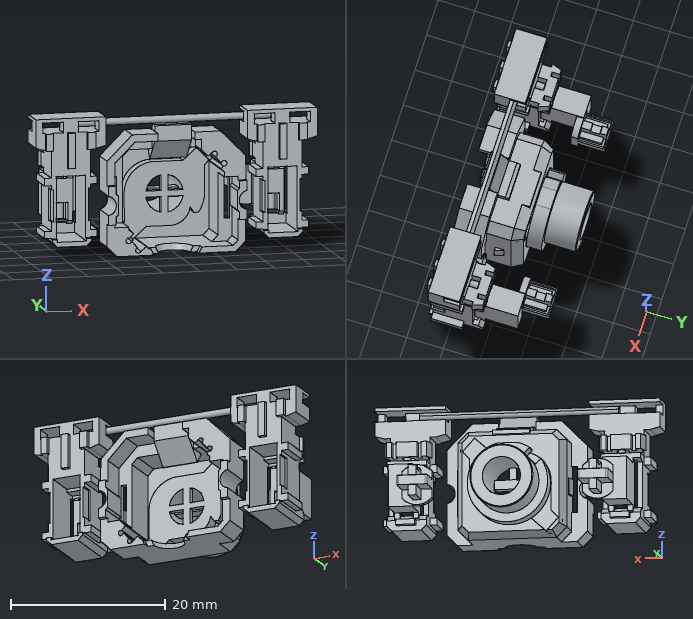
import cadquery as cq

FLANGE_HALF_WIDTH = 9.28
FLANGE_TOP = 9.13
FLANGE_BOTTOM = -6.9
FLANGE_FRONT = -4.15
TOP_CORNER = 3.35
BOTTOM_CORNER = 1.35
FLANGE_RIM = 1.03
FLANGE_FLOOR = 0.8
BOX_HALF_WIDTH = 7.2
BOX_TOP = 7.36
BOX_REAR = 4.83
BOX_WALL = 0.8
BOX_BEVEL_DEPTH = 1.48
BOX_BEVEL_HEIGHT = 0.78
CAVITY_FLOOR = -6.07
CAVITY_CORNER = 0.85
RIM_TOP_CORNER = 2.68
RIM_BOTTOM_CORNER = 0.7
TONGUE_HALF_WIDTH = 2.46
WINDOW_TOP = 3.04
WINDOW_INNER = BOX_HALF_WIDTH
WINDOW_OUTER = 7.92
HOOK_REACH = 0.48
HOOK_HALF_HEIGHT = 1.08
NOTCH_RADIUS = 1.27
NOTCH_CENTRE = 9.49
NOTCH_RIM = 0.28
PAD_FRONT = -4.85
PAD_HALF_HEIGHT = 2.55
RELIEF_HALF_WIDTH = 3.0
RELIEF_DEPTH = 1.05
RELIEF_RADIUS = 2.5
RELIEF_FLARE = 0.4
KEYWAY_LOBE_RADIUS = 0.36

KNOB_RADIUS = 4.15
KNOB_REAR = 11.25
KNOB_FLANGE_RADIUS = 5.31
KNOB_FLANGE_TOP = 5.15
KNOB_FLANGE_REAR = 6.9
KNOB_EDGE = 0.12
KNOB_NOTCH_WIDTH = 2.13
KNOB_PLATE_FRONT = 2.3
TAB_PAD_FRONT = KNOB_PLATE_FRONT - 0.4
VENT_RADIUS = 2.5
UPRIGHT_BAR = 1.0
CROSS_BAR = 0.8
CROSS_RIB = 1.24
CROSS_RIB_LENGTH = 4.2
CAVITY_REAR = BOX_REAR - BOX_WALL

ROD_RADIUS = 0.51
ROD_Y = -1.62
ROD_Z = 10.57
ROD_FLAT_DEPTH = 0.12

BRACKET_X = -14.15
HEAD_HALF_WIDTH = 4.69
HEAD_TOP = 11.7
HEAD_SIDE_BOTTOM = 7.9
HEAD_BOTTOM = 7.57
BRACKET_FRONT = -4.26
SLOT_BOTTOM = 9.83
SLOT_TOP = 11.2
SLOT_FRONT = -2.15
WINDOW_NEAR = 1.0
WINDOW_FAR = 3.75
STEM_HALF_WIDTH = 2.62
STEM_REAR = 1.4
FOOT_HALF_WIDTH = 1.95
FOOT_REAR = 2.6
FOOT_BOTTOM = -5.17
RIB_FRONT = PAD_FRONT
OPENING_TOP = 4.07
OPENING_FLOOR = -4.49
BACK_OPENING_HALF_HEIGHT = 3.1
OPENING_REAR_TOP = 3.65
BACK_WALL = 1.0
HEEL_REAR = 3.54
RAIL_REACH = 3.55
CATCH_TOP = 6.56
CATCH_BOTTOM = 4.58
CATCH_REACH = 3.1
CATCH_FRONT = 1.2
TAIL_HALF_WIDTH = 1.6
TAIL_HALF_HEIGHT = 2.8
TAIL_FRONT = 1.14
TAIL_REAR = 7.0
PIN_RADIUS = 0.48
PIN_Y = 1.8

LATCH_X = -11.93
LATCH_HALF = 2.0
LATCH_REAR = 10.65
LATCH_DISC_FRONT = 6.05
LATCH_DISC_RADIUS = 2.64
LATCH_WALL = 0.22
LATCH_CORE_HALF = 1.37
LATCH_CORE_REAR = 10.05
LATCH_BAND_HALF = 0.63
LATCH_SPINE_HALF = 0.52
LATCH_NOTCH_DEPTH = 0.45


def box(x0, x1, y0, y1, z0, z1):
    """Block between two corners."""
    return cq.Workplane("XY").box(x1 - x0, y1 - y0, z1 - z0, centered=False).translate((x0, y0, z0))


def front_plane(y):
    """XZ sketch plane at depth y, facing the front; a negative extrusion runs towards +Y."""
    return cq.Workplane(cq.Plane(origin=(0, y, 0), xDir=(1, 0, 0), normal=(0, -1, 0)))


def prism(points, y0, y1):
    """XZ polygon carried from y0 to y1."""
    return front_plane(y0).polyline(points).close().extrude(y0 - y1)


def disc(x, z, radius, y0, y1):
    """Round bar along Y."""
    return front_plane(y0).center(x, z).circle(radius).extrude(y0 - y1)


def side_prism(points, x0, x1):
    """YZ polygon carried from x0 to x1."""
    return cq.Workplane("YZ").polyline(points).close().extrude(x1 - x0).translate((x0, 0, 0))


def plan_prism(points, z0, z1):
    """XY polygon carried from z0 to z1."""
    return cq.Workplane("XY").polyline(points).close().extrude(z1 - z0).translate((0, 0, z0))


def mirrored(body):
    return body.mirror("YZ")


def turned(points):
    """Points turned half a turn about the knob axis."""
    return [(-x, -z) for x, z in points]


def cut_corner_outline(half_width, top, bottom, top_corner, bottom_corner):
    """Outline with straight sides and four cut corners."""
    return [
        (-half_width, bottom + bottom_corner),
        (-half_width, top - top_corner),
        (-half_width + top_corner, top),
        (half_width - top_corner, top),
        (half_width, top - top_corner),
        (half_width, bottom + bottom_corner),
        (half_width - bottom_corner, bottom),
        (-half_width + bottom_corner, bottom),
    ]


TAB = [(2.45, 4.26), (4.73, 6.3), (6.33, 4.55), (5.37, 3.55)]


def knob_plate(y0, y1):
    """Inner plate of the knob: rounded on one diagonal, with a tab at each end of the other."""
    tab_low = turned(TAB)
    outline = (
        front_plane(y0)
        .moveTo(-5.4, 0)
        .threePointArc((-4.3, 3.0), (-1.7, 4.26))
        .polyline(TAB, includeCurrent=True)
        .lineTo(5.37, -0.3)
        .threePointArc((5.1, -1.6), (4.55, -2.68))
        .lineTo(3.95, -2.68)
        .lineTo(3.45, -1.95)
        .threePointArc((2.4, -3.7), (0.6, -4.26))
        .polyline(tab_low, includeCurrent=True)
        .close()
    )
    return outline.extrude(y0 - y1)


def knob_flange():
    """Round collar behind the housing with a flat top and a radial notch at its upper left."""
    collar = disc(0, 0, KNOB_FLANGE_RADIUS, BOX_REAR, KNOB_FLANGE_REAR)
    radius = KNOB_FLANGE_RADIUS
    above = box(-radius, radius, BOX_REAR, KNOB_FLANGE_REAR, KNOB_FLANGE_TOP, radius)
    half_notch = KNOB_NOTCH_WIDTH / 2
    notch = box(-half_notch, half_notch, BOX_REAR, KNOB_FLANGE_REAR, KNOB_RADIUS, radius)
    notch = notch.rotate((0, 0, 0), (0, 1, 0), -45)
    return collar.cut(above).cut(notch)


def knob_tab_pads():
    """Raised tips of the two tabs, inside the keyways."""
    tip = [TAB[1], TAB[2], (5.96, 4.17), (4.26, 5.87)]
    return [prism(points, TAB_PAD_FRONT, KNOB_PLATE_FRONT) for points in (tip, turned(tip))]


def make_knob():
    grip = disc(0, 0, KNOB_RADIUS, BOX_REAR, KNOB_REAR).faces(">Y").edges().chamfer(KNOB_EDGE)
    body = knob_plate(KNOB_PLATE_FRONT, BOX_REAR).union(knob_flange()).union(grip)
    body = body.cut(disc(0, 0, VENT_RADIUS, KNOB_PLATE_FRONT, KNOB_REAR))
    bar_depth = (KNOB_PLATE_FRONT, KNOB_PLATE_FRONT + BOX_WALL)
    upright = box(-UPRIGHT_BAR / 2, UPRIGHT_BAR / 2, *bar_depth, -VENT_RADIUS, VENT_RADIUS)
    cross = box(-VENT_RADIUS, VENT_RADIUS, *bar_depth, -CROSS_BAR / 2, CROSS_BAR / 2)
    bars = upright.union(cross).intersect(disc(0, 0, VENT_RADIUS, *bar_depth))
    half_rib = CROSS_RIB_LENGTH / 2
    rib = box(-half_rib, half_rib, bar_depth[1], BOX_REAR, -CROSS_RIB / 2, CROSS_RIB / 2)
    for pad in knob_tab_pads():
        body = body.union(pad)
    return body.union(bars).union(rib)


def housing_shell():
    """Front flange and the bevelled box behind it."""
    flange = prism(
        cut_corner_outline(FLANGE_HALF_WIDTH, FLANGE_TOP, FLANGE_BOTTOM, TOP_CORNER, BOTTOM_CORNER),
        FLANGE_FRONT,
        0,
    )
    rear_box = prism(
        cut_corner_outline(BOX_HALF_WIDTH, BOX_TOP, FLANGE_BOTTOM, BOTTOM_CORNER, BOTTOM_CORNER),
        0,
        BOX_REAR,
    )
    rear_box = rear_box.faces(">Y").chamfer(BOX_BEVEL_DEPTH, BOX_BEVEL_HEIGHT)
    return flange.union(rear_box)


def housing_cavity():
    """Wide shallow recess in the flange and the deeper one in the box, less two solid corners."""
    rim_x = FLANGE_HALF_WIDTH - FLANGE_RIM
    rim_z = FLANGE_TOP - FLANGE_RIM + 0.04
    deep_x = BOX_HALF_WIDTH - BOX_WALL
    deep_z = BOX_TOP - BOX_WALL
    block_x = 3.35
    block_z = 6.75
    diagonal_end = 3.7
    low_diagonal_x = -3.58
    wide = prism(
        [
            (-rim_x, -WINDOW_TOP),
            (-rim_x, rim_z - RIM_TOP_CORNER),
            (-rim_x + RIM_TOP_CORNER, rim_z),
            (block_x, rim_z),
            (block_x, block_z),
            (deep_x, diagonal_end),
            (deep_x, WINDOW_TOP),
            (rim_x, WINDOW_TOP),
            (rim_x, CAVITY_FLOOR + RIM_BOTTOM_CORNER),
            (rim_x - RIM_BOTTOM_CORNER, CAVITY_FLOOR),
            (low_diagonal_x, CAVITY_FLOOR),
            (-deep_x, -WINDOW_TOP - 0.2),
            (-deep_x, -WINDOW_TOP),
        ],
        FLANGE_FRONT,
        -FLANGE_FLOOR,
    )
    deep = prism(
        [
            (-deep_x, -WINDOW_TOP - 0.2),
            (-deep_x, deep_z - CAVITY_CORNER),
            (-deep_x + CAVITY_CORNER, deep_z),
            (block_x + 0.19, deep_z),
            (deep_x, diagonal_end),
            (deep_x, CAVITY_FLOOR + CAVITY_CORNER),
            (deep_x - CAVITY_CORNER, CAVITY_FLOOR),
            (low_diagonal_x, CAVITY_FLOOR),
        ],
        FLANGE_FRONT,
        CAVITY_REAR,
    )
    return wide.union(deep)


def keyways():
    """Two-lobed channels through the solid corners that let the knob tabs in."""
    lobes = [(5.1, 6.12), (6.38, 4.84)]
    cutter = None
    for tab, centres in ((TAB, lobes), (turned(TAB), turned(lobes))):
        channel = prism(tab, FLANGE_FRONT, CAVITY_REAR)
        for x, z in centres:
            channel = channel.union(disc(x, z, KEYWAY_LOBE_RADIUS, FLANGE_FRONT, CAVITY_REAR))
        cutter = channel if cutter is None else cutter.union(channel)
    return cutter


def tongue():
    """Bent strip over the top of the housing that rises under the rod."""
    profile = [
        (4.4, BOX_TOP),
        (1.56, BOX_TOP),
        (1.56, 8.0),
        (1.08, 8.2),
        (0, 8.2),
        (-1.08, 9.95),
        (-2.1, 9.95),
        (-2.4, 9.85),
        (-2.4, 7.81),
        (0.4, 5.03),
        (1.6, BOX_TOP - BOX_WALL),
        (4.4, BOX_TOP - BOX_WALL),
    ]
    return side_prism(profile, -TONGUE_HALF_WIDTH, TONGUE_HALF_WIDTH)


def floor_relief():
    """Arched cut in the front edge of the floor, flaring upwards."""
    height = CAVITY_FLOOR - FLANGE_BOTTOM
    back = FLANGE_FRONT + RELIEF_DEPTH
    top_half = RELIEF_HALF_WIDTH + RELIEF_FLARE
    mouth = prism(
        [
            (-RELIEF_HALF_WIDTH, FLANGE_BOTTOM),
            (RELIEF_HALF_WIDTH, FLANGE_BOTTOM),
            (top_half, CAVITY_FLOOR),
            (-top_half, CAVITY_FLOOR),
        ],
        FLANGE_FRONT,
        back,
    )
    arch = cq.Solid.makeCone(
        RELIEF_RADIUS - RELIEF_FLARE,
        RELIEF_RADIUS,
        height,
        pnt=cq.Vector(0, back, FLANGE_BOTTOM),
    )
    return mouth.union(cq.Workplane(obj=arch))


def side_pad():
    """Left pad on the flange front with the wall behind its half-round notch."""
    inner = FLANGE_HALF_WIDTH - FLANGE_RIM
    pad = box(-FLANGE_HALF_WIDTH, -inner, PAD_FRONT, FLANGE_FRONT, -PAD_HALF_HEIGHT, PAD_HALF_HEIGHT)
    wall_x = -inner + NOTCH_RIM
    wall_half = NOTCH_RADIUS + NOTCH_RIM
    wall = prism(
        [
            (-inner, -wall_half),
            (wall_x, -wall_half + NOTCH_RIM),
            (wall_x, wall_half - NOTCH_RIM),
            (-inner, wall_half),
        ],
        PAD_FRONT,
        0,
    )
    return pad.union(wall)


def snap_hook():
    """Left wedge on the side of the box."""
    profile = [
        (-BOX_HALF_WIDTH, 1.2),
        (-BOX_HALF_WIDTH - HOOK_REACH, 1.2),
        (-BOX_HALF_WIDTH - 0.1, 2.4),
        (-BOX_HALF_WIDTH, 2.4),
    ]
    return plan_prism(profile, -HOOK_HALF_HEIGHT, HOOK_HALF_HEIGHT)


def make_housing():
    body = housing_shell().cut(housing_cavity())
    top_gap = box(-TONGUE_HALF_WIDTH, TONGUE_HALF_WIDTH, FLANGE_FRONT, 0, BOX_TOP - BOX_WALL, FLANGE_TOP)
    body = body.cut(top_gap).union(tongue()).cut(floor_relief())
    side_window = box(-WINDOW_OUTER, -WINDOW_INNER, FLANGE_FRONT, 0, -WINDOW_TOP, WINDOW_TOP)
    notch = disc(-NOTCH_CENTRE, 0, NOTCH_RADIUS, PAD_FRONT, 0)
    pad = side_pad()
    hook = snap_hook()
    body = body.union(pad).union(mirrored(pad)).union(hook).union(mirrored(hook))
    body = body.cut(side_window).cut(mirrored(side_window)).cut(notch).cut(mirrored(notch))
    return body.cut(keyways()).cut(knob_plate(CAVITY_REAR, BOX_REAR))


def bracket_head():
    """Wide head with a cross slot for the rod and two windows in its front wall."""
    head = prism(
        [
            (-HEAD_HALF_WIDTH, HEAD_TOP),
            (HEAD_HALF_WIDTH, HEAD_TOP),
            (HEAD_HALF_WIDTH, HEAD_SIDE_BOTTOM),
            (3.41, HEAD_BOTTOM),
            (-3.41, HEAD_BOTTOM),
            (-HEAD_HALF_WIDTH, HEAD_SIDE_BOTTOM),
        ],
        BRACKET_FRONT,
        0,
    )
    slot = box(-HEAD_HALF_WIDTH, HEAD_HALF_WIDTH, SLOT_FRONT, 0, SLOT_BOTTOM, SLOT_TOP)
    window = box(WINDOW_NEAR, WINDOW_FAR, BRACKET_FRONT, 0, SLOT_BOTTOM, SLOT_TOP)
    head = head.cut(slot).cut(window).cut(mirrored(window))
    left_rib = box(-3.41, -2.48, RIB_FRONT, BRACKET_FRONT, HEAD_BOTTOM, SLOT_BOTTOM)
    right_rib = box(2.14, 3.22, RIB_FRONT, BRACKET_FRONT, HEAD_BOTTOM, SLOT_BOTTOM)
    middle_rib = box(-0.48, 0.48, RIB_FRONT, BRACKET_FRONT, 5.16, SLOT_BOTTOM)
    return head.union(left_rib).union(right_rib).union(middle_rib)


def bracket_stem():
    """Upright stem with a catch across its rear."""
    stem = box(-STEM_HALF_WIDTH, STEM_HALF_WIDTH, BRACKET_FRONT, 0, OPENING_TOP, HEAD_BOTTOM)
    block = box(0.77, STEM_HALF_WIDTH, 0, STEM_REAR, CATCH_BOTTOM, CATCH_TOP)
    catch = plan_prism(
        [
            (-CATCH_REACH, CATCH_FRONT),
            (CATCH_REACH, CATCH_FRONT),
            (STEM_HALF_WIDTH, FOOT_REAR),
            (-STEM_HALF_WIDTH, FOOT_REAR),
        ],
        CATCH_BOTTOM,
        CATCH_TOP,
    )
    neck = disc(0, (CATCH_BOTTOM + CATCH_TOP) / 2, PIN_RADIUS, 0, CATCH_FRONT)
    groove = box(1.37, 1.95, STEM_REAR + 0.15, FOOT_REAR, CATCH_BOTTOM, CATCH_TOP)
    catch = catch.cut(groove).cut(mirrored(groove))
    return stem.union(block).union(mirrored(block)).union(catch).union(neck)


def bracket_foot():
    """Open frame below the stem with side rails and a projecting sole."""
    frame = box(-STEM_HALF_WIDTH, STEM_HALF_WIDTH, BRACKET_FRONT, FOOT_REAR, -4.15, OPENING_TOP)
    sole = prism(
        [
            (-STEM_HALF_WIDTH, -4.15),
            (STEM_HALF_WIDTH, -4.15),
            (STEM_HALF_WIDTH, OPENING_FLOOR),
            (FOOT_HALF_WIDTH, FOOT_BOTTOM),
            (-FOOT_HALF_WIDTH, FOOT_BOTTOM),
            (-STEM_HALF_WIDTH, OPENING_FLOOR),
        ],
        RIB_FRONT,
        FOOT_REAR,
    )
    frame = frame.union(sole)
    inner_rear = FOOT_REAR - BACK_WALL
    half = FOOT_HALF_WIDTH
    opening = box(-half, half, RIB_FRONT, inner_rear, OPENING_FLOOR, OPENING_REAR_TOP)
    opening_front = box(-half, half, RIB_FRONT, 0, OPENING_FLOOR, OPENING_TOP)
    gap = BACK_OPENING_HALF_HEIGHT
    back_gap = side_prism(
        [
            (TAIL_FRONT, -gap),
            (TAIL_FRONT, gap),
            (FOOT_REAR, gap + 0.3),
            (FOOT_REAR, -gap - 0.7),
            (1.93, -gap),
        ],
        -STEM_HALF_WIDTH,
        STEM_HALF_WIDTH,
    )
    frame = frame.cut(opening).cut(opening_front).cut(back_gap)
    heel = box(-1.25, 1.25, FOOT_REAR, HEEL_REAR, -4.5, -gap - 0.7)
    frame = frame.union(heel)
    recess = box(2.37, STEM_HALF_WIDTH, BRACKET_FRONT, -2.65, -1.88, 2.33)
    frame = frame.cut(recess).cut(mirrored(recess))
    for bottom, top in ((2.9, 3.92), (-4.05, -3.1)):
        rail = box(STEM_HALF_WIDTH, RAIL_REACH, BRACKET_FRONT, 0, bottom, top)
        frame = frame.union(rail).union(mirrored(rail))
    return frame


def bracket_tail():
    """Block behind the foot, held by four slanted prongs, with a pin in its window."""
    half = TAIL_HALF_HEIGHT
    tail = box(-TAIL_HALF_WIDTH, TAIL_HALF_WIDTH, TAIL_FRONT, TAIL_REAR, -half, half)
    pin_bottom = -2.55
    pocket = box(-0.95, 0.95, TAIL_FRONT, FOOT_REAR, -half, -0.4)
    tail = tail.cut(pocket)
    prong = side_prism(
        [(TAIL_FRONT, half), (1.9, 3.58), (FOOT_REAR, 3.58), (FOOT_REAR, half)],
        0.88,
        TAIL_HALF_WIDTH,
    )
    for upper in (prong, mirrored(prong)):
        tail = tail.union(upper).union(upper.mirror("XY"))
    pin = cq.Workplane("XY", origin=(0, PIN_Y, pin_bottom)).circle(PIN_RADIUS)
    return tail.union(pin.extrude(CATCH_BOTTOM - pin_bottom))


def make_bracket(x, latch):
    """Bracket at x, its tail recessed to take the latch."""
    body = bracket_head().union(bracket_stem()).union(bracket_foot()).union(bracket_tail())
    return body.translate((x, 0, 0)).cut(latch)


def make_latch():
    """Rounded band and core crossed by a tall notched spine, on a trimmed disc."""
    half = LATCH_HALF
    wall = half - LATCH_WALL
    band_half = LATCH_BAND_HALF
    inner_rear = LATCH_REAR - LATCH_WALL
    block = box(-half, half, TAIL_REAR, LATCH_REAR, -band_half, band_half).edges("|Z and >Y").fillet(0.25)
    block = block.cut(box(-wall, wall, TAIL_REAR, inner_rear, 0, band_half))
    core = LATCH_CORE_HALF
    block = block.union(box(-core, core, TAIL_REAR, LATCH_CORE_REAR, 0, band_half))
    spine = box(-LATCH_SPINE_HALF, LATCH_SPINE_HALF, TAIL_REAR, inner_rear, -half, half)
    spine_notch = box(-LATCH_SPINE_HALF, LATCH_SPINE_HALF, 8.26, 9.55, half - LATCH_NOTCH_DEPTH, half)
    block = block.union(spine.cut(spine_notch))
    radius = LATCH_DISC_RADIUS
    plate = disc(0, 0, radius, LATCH_DISC_FRONT, TAIL_REAR)
    plate = plate.intersect(box(-half, half, LATCH_DISC_FRONT, TAIL_REAR, -radius, radius))
    return block.union(plate).translate((LATCH_X, 0, 0))


def make_rod():
    """Rod between the bracket heads with a slanted flat along its upper rear."""
    end = -BRACKET_X - WINDOW_NEAR
    rod = cq.Workplane("YZ", origin=(-end, ROD_Y, ROD_Z)).circle(ROD_RADIUS).extrude(2 * end)
    flat_distance = ROD_RADIUS - ROD_FLAT_DEPTH
    above = box(-end, end, -ROD_RADIUS, ROD_RADIUS, flat_distance, ROD_RADIUS)
    above = above.rotate((0, 0, 0), (1, 0, 0), -45).translate((0, ROD_Y, ROD_Z))
    return rod.cut(above)


housing = make_housing()
knob = make_knob()
rod = make_rod()
left_latch = make_latch()
latches = [left_latch, mirrored(left_latch)]
brackets = []
for bracket_x, latch in zip((BRACKET_X, -BRACKET_X), latches):
    brackets.append(make_bracket(bracket_x, latch))
bodies = [housing, knob, rod, *brackets, *latches]
result = cq.Compound.makeCompound([body.solids().val() for body in bodies])